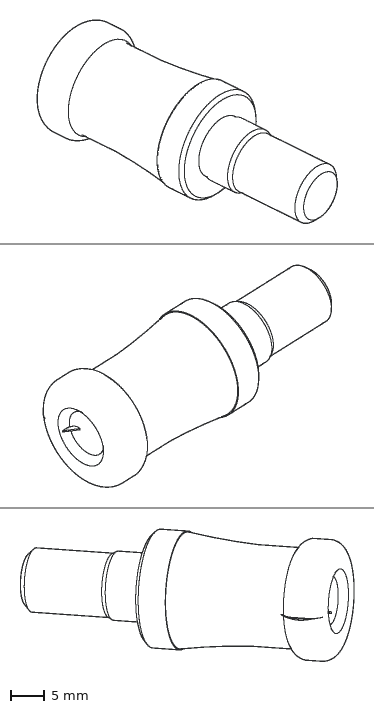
import cadquery as cq
import math

length = 49.2
face_radius = 15.3 / 2
head_radius = 18.45 / 2
head_start = 1.85
head_end = 4.55
neck_radius = 7.7
neck_start = 6.85
neck_end = 13.45
throat_x = 6.1
throat_radius = 7.95
flare_end = 24.3
flare_radius = 8.85
collar_radius = 18.0 / 2
collar_start = 24.55
collar_end = 29.4
collar_chamfer = 0.6
undercut_radius = 5.05
undercut_end = 29.85
pilot_radius = 10.5 / 2
pilot_start = 30.6
pilot_end = 35.3
shank_radius = 9.75 / 2
shank_start = 36.0
tip_chamfer = 0.95

face_sagitta = 0.4
shoulder_sagitta = 0.25
fillet_sagitta = 0.1
flare_sagitta = 0.15

mouth_radius = 9.75 / 2
recess_throat_depth = 1.25
recess_throat_radius = 3.7
recess_depth = 2.1
floor_radius = 2.8
floor_sagitta = 0.25

fin_top_z = -0.9
fin_radius = 3.55
fin_tip_y = 9.9
fin_center_x = 3.25
fin_depth = 1.8

blade_tip_y = 3.75
blade_floor_y = 2.25
blade_overhang = 0.15
blade_thickness = 0.25


def bulge_point(start, end, sagitta):
    """Midpoint of an arc, offset to the left of the chord from start to end."""
    dx = end[0] - start[0]
    dy = end[1] - start[1]
    chord = math.hypot(dx, dy)
    return (
        (start[0] + end[0]) / 2 - sagitta * dy / chord,
        (start[1] + end[1]) / 2 + sagitta * dx / chord,
    )


def make_body():
    face_edge = (0, face_radius)
    head_front = (head_start, head_radius)
    head_back = (head_end, head_radius)
    throat = (throat_x, throat_radius)
    neck_front = (neck_start, neck_radius)
    neck_back = (neck_end, neck_radius)
    flare_back = (flare_end, flare_radius)
    outline = (
        cq.Workplane("XY")
        .lineTo(*face_edge)
        .threePointArc(bulge_point(face_edge, head_front, face_sagitta), head_front)
        .lineTo(*head_back)
        .threePointArc(bulge_point(head_back, throat, shoulder_sagitta), throat)
        .threePointArc(bulge_point(throat, neck_front, -fillet_sagitta), neck_front)
        .lineTo(*neck_back)
        .threePointArc(bulge_point(neck_back, flare_back, -flare_sagitta), flare_back)
        .lineTo(collar_start, flare_radius)
        .lineTo(collar_start, collar_radius)
        .lineTo(collar_end - collar_chamfer, collar_radius)
        .lineTo(collar_end, collar_radius - collar_chamfer)
        .lineTo(collar_end, undercut_radius)
        .lineTo(undercut_end, undercut_radius)
        .lineTo(pilot_start, pilot_radius)
        .lineTo(pilot_end, pilot_radius)
        .lineTo(shank_start, shank_radius)
        .lineTo(length - tip_chamfer, shank_radius)
        .lineTo(length, shank_radius - tip_chamfer)
        .lineTo(length, 0)
        .close()
    )
    return outline.revolve(360, (0, 0, 0), (1, 0, 0))


def make_recess():
    throat = (recess_throat_depth, recess_throat_radius)
    floor_edge = (recess_depth, floor_radius)
    outline = (
        cq.Workplane("XY")
        .lineTo(0, mouth_radius)
        .lineTo(*throat)
        .threePointArc(bulge_point(throat, floor_edge, floor_sagitta), floor_edge)
        .lineTo(recess_depth, 0)
        .close()
    )
    return outline.revolve(360, (0, 0, 0), (1, 0, 0))


def make_fin():
    center = cq.Vector(fin_center_x, fin_tip_y - fin_radius, fin_top_z)
    cone = cq.Solid.makeCone(fin_radius, 0, fin_depth, center, cq.Vector(0, 0, -1))
    keep = (
        cq.Workplane("XY", origin=(0, face_radius, fin_top_z - fin_depth))
        .box(2 * length, fin_tip_y, fin_depth, centered=(False, False, False))
    )
    return cq.Workplane(cone).intersect(keep)


def make_blade():
    return (
        cq.Workplane("XY", origin=(0, 0, fin_top_z))
        .moveTo(-blade_overhang, blade_tip_y)
        .lineTo(recess_depth, blade_floor_y)
        .lineTo(recess_depth, blade_tip_y)
        .close()
        .extrude(-blade_thickness)
    )


result = make_body().cut(make_recess()).union(make_fin()).union(make_blade())